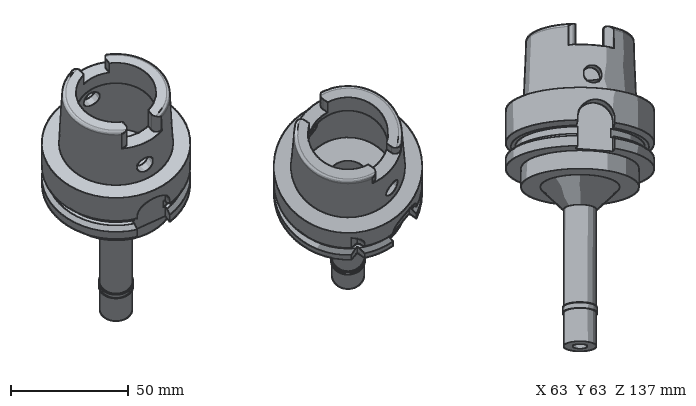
import cadquery as cq
import math


ring_bottom_z = 14.8
ring_top_z = 17.1
stem_bottom_z = 17.5
cone_bottom_z = 61.0
collar_bottom_z = 71.1
flange_bottom_z = 79.2
groove_bottom_z = 85.4
groove_top_z = 89.0
flange_top_z = 105.2
top_z = 137.0

stem_radius = 7.0
ring_radius = 7.4
pilot_hole_radius = 3.2

cone_top_radius = 16.9
collar_radius = 25.1
flange_radius = 31.5
groove_radius = 27.5
groove_lip_radius = 29.3
groove_lip_height = 1.6

taper_bottom_radius = 24.2
taper_top_radius = 22.9
taper_round = 1.5

mouth_radius = 17.0
undercut_radius = 20.0
undercut_top_z = 124.1
undercut_slope = math.radians(30)
bore_floor_z = 91.8
thread_radius = 9.0
thread_floor_z = 79.5
coolant_hole_radius = 4.0

drive_slot_half_width = 6.3
drive_slot_round = 2.5
left_slot_floor_z = 131.1
right_slot_floor_z = 127.1

cross_hole_radius = 4.0
cross_hole_z = 114.0

keyway_floor_x = 26.6
keyway_half_width = 8.1
keyway_top_z = 100.1

notch_floor_x = -20.4
notch_wall_y = 20.0
notch_round = 8.1
notch_round_z = 93.3


def revolve_profile(points):
    """Turn a closed (radius, height) outline around the Z axis."""
    return cq.Workplane("XZ").polyline(points).close().revolve(360, (0, 0), (0, 1))


def taper_shank():
    """Solid taper with its top rim rounded."""
    taper = revolve_profile([
        (0, flange_top_z),
        (taper_bottom_radius, flange_top_z),
        (taper_top_radius, top_z),
        (0, top_z),
    ])
    return taper.faces(">Z").edges().fillet(taper_round)


def flange_and_stem():
    """Grooved flange, collar, cone and stem down to the gap above the cutting ring."""
    return revolve_profile([
        (0, stem_bottom_z),
        (stem_radius, stem_bottom_z),
        (stem_radius, cone_bottom_z),
        (cone_top_radius, collar_bottom_z),
        (collar_radius, collar_bottom_z),
        (collar_radius, flange_bottom_z),
        (flange_radius, flange_bottom_z),
        (flange_radius, groove_bottom_z - groove_lip_height),
        (groove_lip_radius, groove_bottom_z),
        (groove_radius, groove_bottom_z),
        (groove_radius, groove_top_z),
        (groove_lip_radius, groove_top_z),
        (flange_radius, groove_top_z + groove_lip_height),
        (flange_radius, flange_top_z),
        (0, flange_top_z),
    ])


def stepped_bore():
    """Mouth, undercut clamping chamber, thread hole and coolant hole."""
    undercut_depth = undercut_radius - mouth_radius
    undercut_full_z = undercut_top_z - undercut_depth * math.tan(undercut_slope)
    return revolve_profile([
        (0, stem_bottom_z),
        (coolant_hole_radius, stem_bottom_z),
        (coolant_hole_radius, thread_floor_z),
        (thread_radius, thread_floor_z),
        (thread_radius, bore_floor_z),
        (undercut_radius, bore_floor_z),
        (undercut_radius, undercut_full_z),
        (mouth_radius, undercut_top_z),
        (mouth_radius, top_z),
        (0, top_z),
    ])


def drive_slot(floor_z):
    """Slot through the +X wall of the taper, with its corners rounded into the outer surface."""
    arc_y = drive_slot_half_width + drive_slot_round
    arc_reach = taper_top_radius - drive_slot_round
    arc_x = math.sqrt(arc_reach**2 - arc_y**2)
    rim_angle = math.atan2(arc_y, arc_x)
    middle_angle = (rim_angle - math.pi / 2) / 2

    middle_x = arc_x + drive_slot_round * math.cos(middle_angle)
    middle_y = arc_y + drive_slot_round * math.sin(middle_angle)
    rim_x = taper_top_radius * math.cos(rim_angle)
    rim_y = taper_top_radius * math.sin(rim_angle)
    outer_x = flange_radius * math.cos(rim_angle)
    outer_y = flange_radius * math.sin(rim_angle)
    return (
        cq.Workplane("XY").workplane(offset=floor_z)
        .moveTo(0, -drive_slot_half_width)
        .lineTo(arc_x, -drive_slot_half_width)
        .threePointArc((middle_x, -middle_y), (rim_x, -rim_y))
        .lineTo(outer_x, -outer_y)
        .lineTo(outer_x, outer_y)
        .lineTo(rim_x, rim_y)
        .threePointArc((middle_x, middle_y), (arc_x, drive_slot_half_width))
        .lineTo(0, drive_slot_half_width)
        .close()
        .extrude(top_z - floor_z)
    )


def cross_hole():
    """Hole along X through both walls of the taper."""
    return (
        cq.Workplane("YZ").center(0, cross_hole_z).circle(cross_hole_radius)
        .extrude(flange_radius, both=True)
    )


def keyway():
    """Round-topped keyway in the +X side of the flange."""
    arc_z = keyway_top_z - keyway_half_width
    return (
        cq.Workplane("YZ").workplane(offset=keyway_floor_x)
        .moveTo(-keyway_half_width, flange_bottom_z)
        .lineTo(keyway_half_width, flange_bottom_z)
        .lineTo(keyway_half_width, arc_z)
        .threePointArc((0, keyway_top_z), (-keyway_half_width, arc_z))
        .close()
        .extrude(flange_radius - keyway_floor_x)
    )


def orientation_notch():
    """Corner notch in the flange rim, rounded at its upper end."""
    outer_y = notch_wall_y + notch_round
    end_z = notch_round_z + notch_round
    middle_y = outer_y - notch_round * math.cos(math.pi / 4)
    middle_z = notch_round_z + notch_round * math.sin(math.pi / 4)
    return (
        cq.Workplane("YZ").workplane(offset=notch_floor_x)
        .moveTo(notch_wall_y, flange_bottom_z)
        .lineTo(notch_wall_y, notch_round_z)
        .threePointArc((middle_y, middle_z), (outer_y, end_z))
        .lineTo(outer_y, flange_bottom_z)
        .close()
        .extrude(-flange_radius - notch_floor_x)
    )


def make_holder():
    """Flange, stem and taper in one piece, with all bores, slots and notches cut."""
    body = flange_and_stem().union(taper_shank()).cut(stepped_bore())
    for turn, slot_floor_z in ((0, right_slot_floor_z), (180, left_slot_floor_z)):
        for cutter in (drive_slot(slot_floor_z), keyway()):
            body = body.cut(cutter.rotate((0, 0, 0), (0, 0, 1), turn))
    return body.cut(cross_hole()).cut(orientation_notch())


def make_cutting_ring():
    """Ring slightly wider than the stem, resting on the pilot tip just below the stem."""
    return revolve_profile([
        (pilot_hole_radius, ring_bottom_z),
        (ring_radius, ring_bottom_z),
        (ring_radius, ring_top_z),
        (pilot_hole_radius, ring_top_z),
    ])


def make_pilot_tip():
    """Plain tube as wide as the stem."""
    return (
        cq.Workplane("XY").circle(stem_radius).circle(pilot_hole_radius).extrude(ring_bottom_z)
    )


holder = make_holder()
cutting_ring = make_cutting_ring()
pilot_tip = make_pilot_tip()

result = cq.Compound.makeCompound([holder.val(), cutting_ring.val(), pilot_tip.val()])